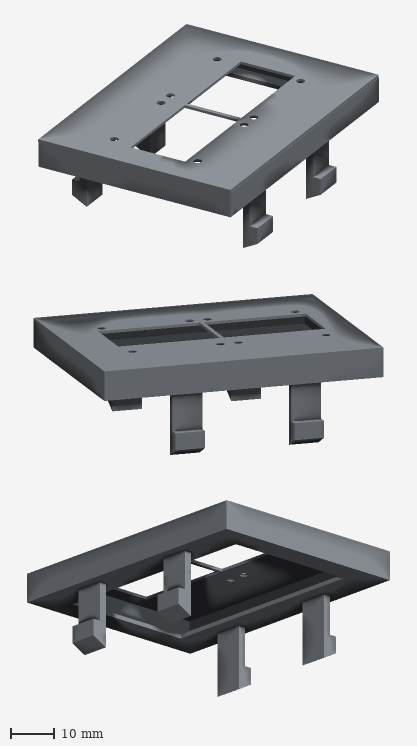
import cadquery as cq

WIDTH = 51.3
LENGTH = 67.9
PLATE_THICKNESS = 0.7

FRAME_HEIGHT = 6.4
WALL = 3.0
FRAME_OFFSET_X = 0.1
LIP_THICKNESS = 1.0
LIP_OPENING_WIDTH = 33.95
LIP_OPENING_LENGTH = 55.55

WINDOW_X = 2.1
WINDOW_WIDTH = 14.55
WINDOW_LENGTH = 24.7
BAR_WIDTH = 1.0
BAR_Y = -1.5

HOLE_DIAMETER = 2.05
HOLE_X = 0.6
HOLE_SPACING_X = 22.2
HOLE_SPACING_Y = 21.4

CLIP_WIDTH = 7.2
CLIP_YS = (12.85, -16.1)
CLIP_INNER_X = 20.85
CLIP_OFFSET_X = -0.15
CLIP_THICKNESS = 1.9
CLIP_LENGTH = 15.5
HOOK_REACH = 3.9
HOOK_TOP = 9.4
HOOK_HEIGHT = 4.1

WINDOW_PITCH = WINDOW_LENGTH + BAR_WIDTH
WINDOW_YS = (BAR_Y + WINDOW_PITCH / 2, BAR_Y - WINDOW_PITCH / 2)


def make_plate():
    plate = cq.Workplane("XY").box(WIDTH, LENGTH, PLATE_THICKNESS, centered=(True, True, False))
    for y in WINDOW_YS:
        window = cq.Workplane("XY").center(WINDOW_X, y).rect(WINDOW_WIDTH, WINDOW_LENGTH)
        holes = (
            cq.Workplane("XY").center(HOLE_X, y)
            .rect(HOLE_SPACING_X, HOLE_SPACING_Y, forConstruction=True)
            .vertices().circle(HOLE_DIAMETER / 2)
        )
        plate = plate.cut(window.extrude(PLATE_THICKNESS)).cut(holes.extrude(PLATE_THICKNESS))
    return plate


def make_rail():
    rail_y = (LENGTH - WALL) / 2
    return cq.Workplane("XY").center(FRAME_OFFSET_X, rail_y).rect(WIDTH, WALL).extrude(-FRAME_HEIGHT)


def make_u_frame():
    length = LENGTH - WALL
    cavity_height = FRAME_HEIGHT - LIP_THICKNESS
    block = cq.Workplane("XY").center(FRAME_OFFSET_X, -WALL / 2).rect(WIDTH, length).extrude(-FRAME_HEIGHT)
    cavity = (
        cq.Workplane("XY")
        .center(FRAME_OFFSET_X, 0)
        .rect(WIDTH - 2 * WALL, LENGTH - 2 * WALL)
        .extrude(-cavity_height)
    )
    floor_opening = (
        cq.Workplane("XY")
        .center(FRAME_OFFSET_X, 0)
        .rect(LIP_OPENING_WIDTH, LIP_OPENING_LENGTH)
        .extrude(-FRAME_HEIGHT)
    )
    return block.cut(cavity).cut(floor_opening)


def make_clip(side, y):
    """Clip hanging from the floor lip, hooked toward -X (side -1) or +X (side 1)."""
    inner = CLIP_OFFSET_X + side * CLIP_INNER_X
    outer = inner + side * CLIP_THICKNESS
    hook = inner + side * HOOK_REACH
    hook_bottom = HOOK_TOP + HOOK_HEIGHT
    return (
        cq.Workplane("XZ", origin=(0, y, -FRAME_HEIGHT))
        .polyline([
            (inner, 0), (outer, 0), (outer, -HOOK_TOP), (hook, -HOOK_TOP),
            (hook, -hook_bottom), (inner, -CLIP_LENGTH),
        ])
        .close()
        .extrude(CLIP_WIDTH / 2, both=True)
    )


plate = make_plate()
rail = make_rail()
u_frame = make_u_frame()
clips = [make_clip(side, y) for side in (-1, 1) for y in CLIP_YS]

result = cq.Compound.makeCompound(
    [plate.val(), rail.val(), u_frame.val(), *[clip.val() for clip in clips]]
)